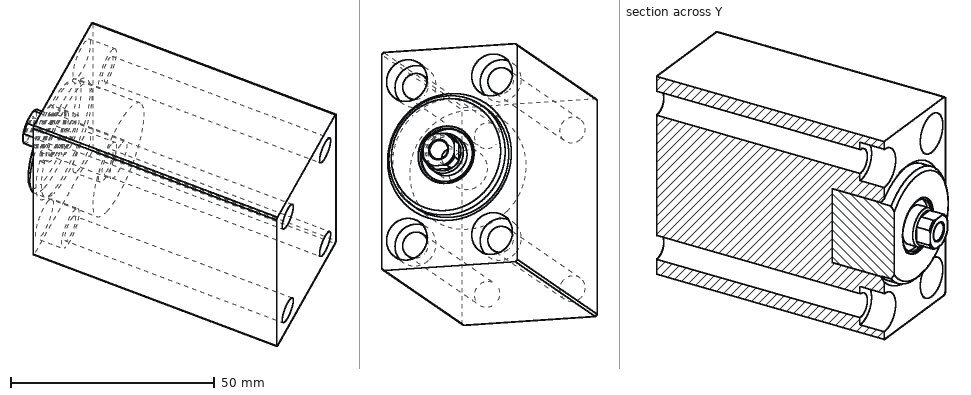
import cadquery as cq

overall_length = 75.0
rod_reach = 9.0
block_length = overall_length - rod_reach
block_width = 35.0
block_height = 55.0
block_chamfer = 0.5

hole_spacing_y = 22.0
hole_spacing_z = 40.0
hole_diameter = 6.5
counterbore_diameter = 10.5
counterbore_depth = 7.0

gland_radius = 15.0
gland_reach = 2.9
gland_chamfer = 0.9
gland_seat_depth = 15.0
seat_chamfer = 1.0
inner_recess_radius = 6.7
inner_recess_depth = 1.35
outer_recess_radius = 7.2
outer_recess_depth = 0.4

rod_radius = 5.0
rod_shoulder_reach = 5.0
rod_chamfer = 0.5
tip_radius = 4.5
tip_across_flats = 8.0
tip_chamfer = 0.3
tip_length = rod_reach - rod_shoulder_reach
tapped_radius = 2.3
tapped_depth = 10.0
tapped_chamfer = 0.2
drill_point_depth = 1.4


def cylinder_along_x(radius, start_x, end_x):
    """Cylinder centred on the X axis."""
    return cq.Workplane("YZ", origin=(start_x, 0, 0)).circle(radius).extrude(end_x - start_x)


def make_housing():
    """Block with long-edge chamfers, mounting holes and a seat for the gland."""
    block = (
        cq.Workplane("XY")
        .box(block_length, block_width, block_height, centered=(False, True, True))
        .edges("|X")
        .chamfer(block_chamfer)
    )
    seat = cylinder_along_x(gland_radius, 0, gland_seat_depth)
    block = block.cut(seat).faces("<X").edges("%CIRCLE").chamfer(seat_chamfer)
    return (
        block.faces("<X")
        .workplane(origin=(0, 0, 0))
        .rect(hole_spacing_y, hole_spacing_z, forConstruction=True)
        .vertices()
        .cboreHole(hole_diameter, counterbore_diameter, counterbore_depth)
    )


def make_gland():
    """Chamfered disc with a stepped recess around the rod bore."""
    body = cylinder_along_x(gland_radius, -gland_reach, gland_seat_depth).faces("<X").chamfer(gland_chamfer)
    outer_recess = cylinder_along_x(outer_recess_radius, -gland_reach, outer_recess_depth - gland_reach)
    inner_recess = cylinder_along_x(inner_recess_radius, -gland_reach, inner_recess_depth - gland_reach)
    bore = cylinder_along_x(rod_radius, -gland_reach, gland_seat_depth)
    return body.cut(outer_recess).cut(inner_recess).cut(bore)


def make_tapped_hole():
    """Cutter for the blind hole: chamfered mouth, straight wall and conical drill point."""
    return (
        cq.Workplane("XY")
        .moveTo(0, 0)
        .lineTo(0, tapped_radius + tapped_chamfer)
        .lineTo(tapped_chamfer, tapped_radius)
        .lineTo(tapped_depth, tapped_radius)
        .lineTo(tapped_depth + drill_point_depth, 0)
        .close()
        .revolve(360, (0, 0, 0), (1, 0, 0))
        .translate((-rod_reach, 0, 0))
    )


def make_piston_rod():
    """Round rod ending in a smaller tip with four flats and a blind hole."""
    rod = cylinder_along_x(rod_radius, -rod_shoulder_reach, gland_seat_depth).faces("<X").chamfer(rod_chamfer)
    tip = cylinder_along_x(tip_radius, -rod_reach, -rod_shoulder_reach).faces("<X").chamfer(tip_chamfer)
    flats = cq.Workplane("XY", origin=(-rod_reach, 0, 0)).box(
        tip_length, tip_across_flats, tip_across_flats, centered=(False, True, True)
    )
    return rod.union(tip.intersect(flats)).cut(make_tapped_hole())


housing = make_housing()
gland = make_gland()
piston_rod = make_piston_rod()
result = cq.Compound.makeCompound([housing.val(), gland.val(), piston_rod.val()])